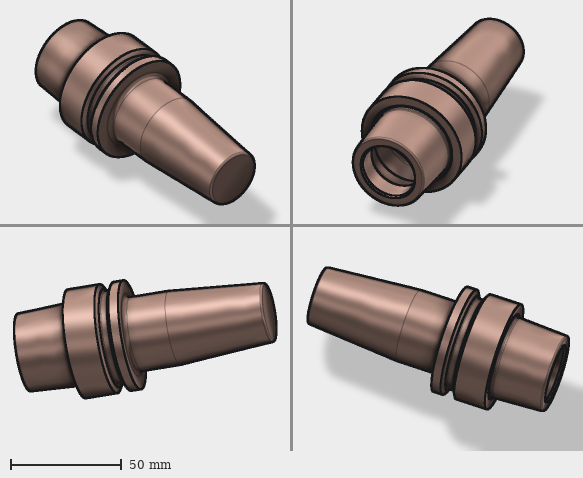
import cadquery as cq
import math


total_length = 114.9
projection_length = 90.0
flange_face_x = total_length - projection_length
flange_width = 25.8
flange_rear_x = flange_face_x + flange_width
neck_length = 1.2
neck_start_x = flange_face_x - neck_length
neck_step_length = 0.7
taper_end_x = neck_start_x - neck_step_length
nose_length = 44.25
nose_start_x = total_length - nose_length

shank_end_radius = 17.9
shank_slope = 0.05
shank_end_round = 0.8
taper_end_radius = shank_end_radius + shank_slope * taper_end_x
neck_radius = 18.95

relief_outer_radius = 20.3
relief_round = 0.7
relief_floor_radius = neck_radius + relief_round
relief_depth = 0.3

flange_radius = 25.0
groove_offset = 18.05
groove_center_x = flange_face_x + groove_offset
groove_depth = 3.4
groove_half_width = 3.3
groove_floor_half_width = 1.9
groove_round = 0.7
groove_flank_angle = math.radians(30)

body_radius = 17.0
body_round = 2.0
nose_end_radius = 13.5
nose_end_round = 1.0

bore_radius = 13.0
bore_chamfer_width = 0.65
bore_chamfer_length = 1.1
bore_length = 10.0
chamber_radius = 16.2
chamber_cone_x = 19.7
chamber_cone_angle = math.radians(20)
chamber_floor_radius = 13.05
chamber_round = 2.0
chamber_depth = chamber_cone_x + (chamber_radius - chamber_floor_radius) / math.tan(chamber_cone_angle)

pilot_radius = 8.4
pilot_floor_radius = 7.0
pilot_depth = 2.2

selection_margin = 0.01


def outer_profile():
    """Closed half outline of the holder without its bore and groove."""
    round_middle = relief_round * math.cos(math.radians(45))
    relief_floor_x = flange_face_x + relief_depth
    relief_center_x = relief_floor_x - relief_round
    return (
        cq.Workplane("XY")
        .moveTo(0, 0)
        .lineTo(0, shank_end_radius)
        .lineTo(taper_end_x, taper_end_radius)
        .lineTo(neck_start_x, neck_radius)
        .lineTo(relief_center_x, neck_radius)
        .threePointArc(
            (relief_center_x + round_middle, relief_floor_radius - round_middle),
            (relief_floor_x, relief_floor_radius),
        )
        .lineTo(flange_face_x, relief_outer_radius)
        .lineTo(flange_face_x, flange_radius)
        .lineTo(flange_rear_x, flange_radius)
        .lineTo(flange_rear_x, body_radius)
        .lineTo(nose_start_x, body_radius)
        .lineTo(total_length, nose_end_radius)
        .lineTo(total_length, 0)
        .close()
    )


def revolve(profile):
    """Full turn of a half outline about the X axis."""
    return profile.revolve(360, (0, 0, 0), (1, 0, 0))


def slab_around_ring(x, radius):
    """Selector for edges inside a thin square slab that just encloses a ring."""
    return cq.selectors.BoxSelector(
        (x - selection_margin, -radius, -radius),
        (x + selection_margin, radius, radius),
        boundingbox=True,
    )


def edges_at(solid, x, radius):
    """Circular edges centred on the axis at the given place and radius."""
    outer_slab = slab_around_ring(x, radius + selection_margin)
    inner_slab = slab_around_ring(x, radius - selection_margin)
    return solid.edges(outer_slab - inner_slab)


def holder_body():
    """Outer shape with its rounded ends and the round behind the flange."""
    body = revolve(outer_profile())
    body = edges_at(body, 0, shank_end_radius).fillet(shank_end_round)
    body = edges_at(body, flange_rear_x, body_radius).fillet(body_round)
    return edges_at(body, total_length, nose_end_radius).fillet(nose_end_round)


def gripper_groove():
    """Ring cutter with sloped flanks above a straight slot with rounded floor corners."""
    floor_radius = flange_radius - groove_depth
    flank_depth = (groove_half_width - groove_floor_half_width) / math.tan(groove_flank_angle)
    flank_end_radius = flange_radius - flank_depth
    ring = revolve(
        cq.Workplane("XY")
        .moveTo(groove_center_x - groove_half_width, flange_radius)
        .lineTo(groove_center_x - groove_floor_half_width, flank_end_radius)
        .lineTo(groove_center_x - groove_floor_half_width, floor_radius)
        .lineTo(groove_center_x + groove_floor_half_width, floor_radius)
        .lineTo(groove_center_x + groove_floor_half_width, flank_end_radius)
        .lineTo(groove_center_x + groove_half_width, flange_radius)
        .close()
    )
    for side in (-1, 1):
        corner_x = groove_center_x + side * groove_floor_half_width
        ring = edges_at(ring, corner_x, floor_radius).fillet(groove_round)
    return ring


def shank_bore():
    """Chamfered mouth and bore, the wider chamber behind it and the pilot recess."""
    bore = revolve(
        cq.Workplane("XY")
        .moveTo(0, 0)
        .lineTo(0, bore_radius + bore_chamfer_width)
        .lineTo(bore_chamfer_length, bore_radius)
        .lineTo(bore_length, bore_radius)
        .lineTo(bore_length, chamber_radius)
        .lineTo(chamber_cone_x, chamber_radius)
        .lineTo(chamber_depth, chamber_floor_radius)
        .lineTo(chamber_depth, 0)
        .close()
    )
    bore = edges_at(bore, chamber_depth, chamber_floor_radius).fillet(chamber_round)
    pilot = revolve(
        cq.Workplane("XY")
        .moveTo(chamber_depth, 0)
        .lineTo(chamber_depth, pilot_radius)
        .lineTo(chamber_depth + pilot_depth, pilot_floor_radius)
        .lineTo(chamber_depth + pilot_depth, 0)
        .close()
    )
    return bore.union(pilot)


holder = holder_body().cut(gripper_groove()).cut(shank_bore())
result = holder.translate((-flange_face_x, 0, 0))